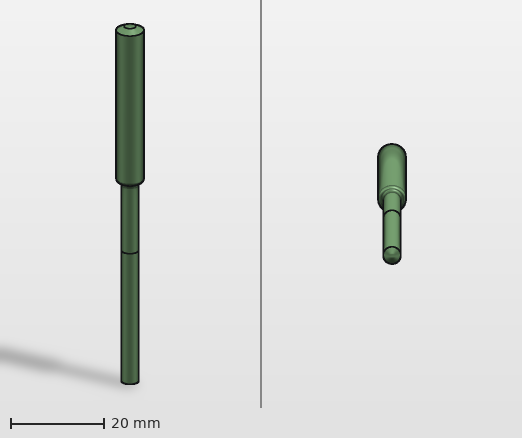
import cadquery as cq

total_length = 85.0
shank_diameter = 6.0
shank_length = 36.0
end_cone_height = 0.9
end_flat_diameter = 2.55
shoulder_height = 1.5
drill_diameter = 3.8
point_height = 0.85
joint_height = 31.9

shank_radius = shank_diameter / 2
drill_radius = drill_diameter / 2
shank_bottom = total_length - shank_length
neck_top = shank_bottom - shoulder_height
shoulder_middle = ((shank_radius + drill_radius) / 2, shank_bottom - shoulder_height / 2)


def make_shank():
    """Shank with a conical end, an S-curved shoulder and a neck down to the joint."""
    return (
        cq.Workplane("XZ")
        .moveTo(0, total_length)
        .lineTo(end_flat_diameter / 2, total_length)
        .lineTo(shank_radius, total_length - end_cone_height)
        .lineTo(shank_radius, shank_bottom)
        .tangentArcPoint(shoulder_middle, relative=False)
        .tangentArcPoint((drill_radius, neck_top), relative=False)
        .lineTo(drill_radius, joint_height)
        .lineTo(0, joint_height)
        .close()
        .revolve(360, (0, 0), (0, 1))
    )


def make_cutting_section():
    """Cylinder below the joint, ending in a conical point."""
    return (
        cq.Workplane("XZ")
        .lineTo(drill_radius, point_height)
        .lineTo(drill_radius, joint_height)
        .lineTo(0, joint_height)
        .close()
        .revolve(360, (0, 0), (0, 1))
    )


shank = make_shank()
cutting_section = make_cutting_section()

result = cq.Compound.makeCompound([shank.val(), cutting_section.val()])